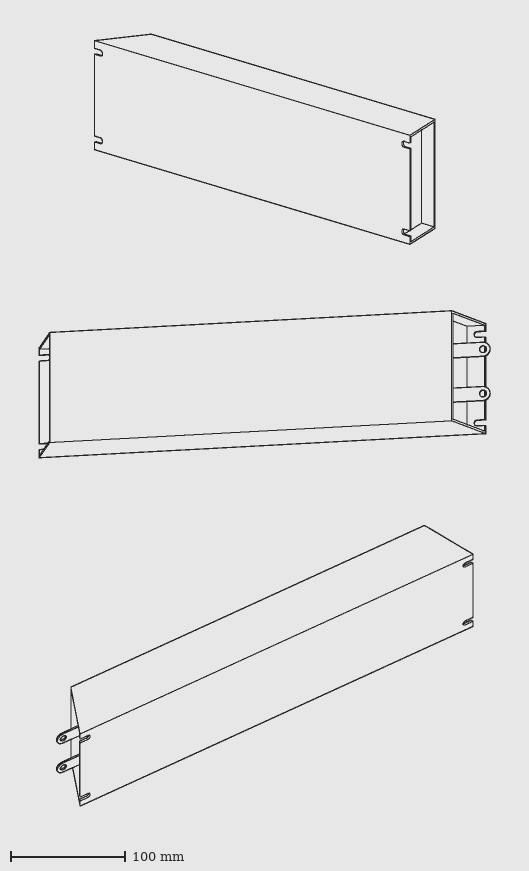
import cadquery as cq

total_length = 409.0
depth = 50.0
height = 100.0
tab_overhang = 9.0

housing_length = total_length - tab_overhang
end_setback = 20.0
wall = 2.0
recess_depth = 16.0

notch_width = 5.5
notch_length = 10.2
notch_spacing = 80.0

tab_width = 12.5
tab_thickness = 1.5
tab_hole_diameter = 6.0
tab_spacing = 40.0

half_length = housing_length / 2
end_slope = end_setback / depth


def end_inset(y):
    """Distance in X that the slanted end lies inside the mounting face end."""
    return end_slope * y


def slanted_block():
    """Long block, trapezoidal from above, with its mounting face on Y = 0."""
    outline = [
        (-half_length, 0),
        (half_length, 0),
        (half_length - end_setback, depth),
        (-half_length + end_setback, depth),
    ]
    return cq.Workplane("XY").polyline(outline).close().extrude(height / 2, both=True)


def end_recess(side):
    """Pocket into one end (side is -1 or 1), its floor parallel to the slanted end."""
    front = wall
    back = depth - wall
    outline = [
        (side * half_length, front),
        (side * half_length, back),
        (side * (half_length - end_inset(back) - recess_depth), back),
        (side * (half_length - end_inset(front) - recess_depth), front),
    ]
    inner_height = height - 2 * wall
    return cq.Workplane("XY").polyline(outline).close().extrude(inner_height / 2, both=True)


def mounting_notch(side, z):
    """Round-ended slot through the mounting wall, open at one end of the housing."""
    slot_length = 2 * notch_length
    return (
        cq.Workplane("XZ")
        .center(side * half_length, z)
        .slot2D(slot_length, notch_width)
        .extrude(-wall)
    )


def make_housing():
    body = slanted_block()
    for side in (-1, 1):
        body = body.cut(end_recess(side))
        for z in (-notch_spacing / 2, notch_spacing / 2):
            body = body.cut(mounting_notch(side, z))
    return body


def make_tab(z, housing):
    """Flat round-tipped tab at mid depth, ending flush on the slanted recess floor."""
    radius = tab_width / 2
    eye_x = -half_length - tab_overhang + radius
    root_x = -half_length + end_setback + recess_depth
    strip = (
        cq.Workplane("XZ", origin=(0, depth / 2, 0))
        .moveTo(root_x, z - radius)
        .lineTo(eye_x, z - radius)
        .threePointArc((eye_x - radius, z), (eye_x, z + radius))
        .lineTo(root_x, z + radius)
        .close()
        .extrude(tab_thickness / 2, both=True)
    )
    eye = (
        cq.Workplane("XZ", origin=(0, depth / 2, 0))
        .center(eye_x, z)
        .circle(tab_hole_diameter / 2)
        .extrude(tab_thickness, both=True)
    )
    return strip.cut(eye).cut(housing)


housing = make_housing()
tabs = [make_tab(z, housing) for z in (-tab_spacing / 2, tab_spacing / 2)]

result = cq.Compound.makeCompound([housing.val(), *[tab.val() for tab in tabs]])